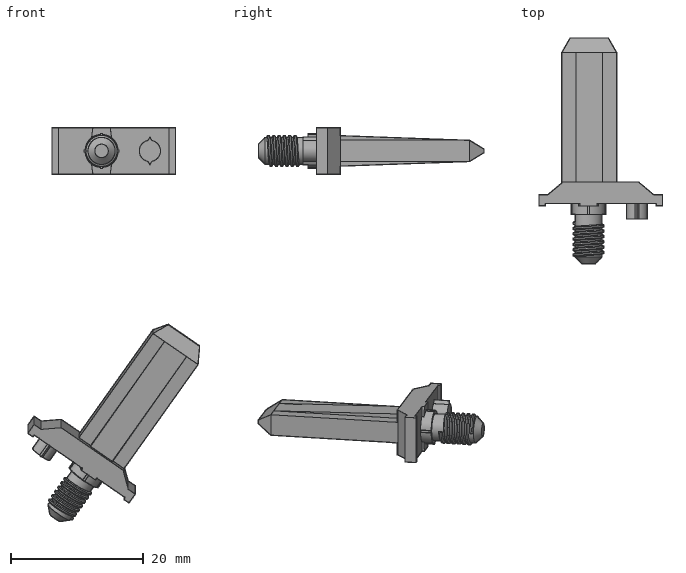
import cadquery as cq


overall_length = 34.02

flange_height = 7.05
flange_width = 18.6
flange_center_x = 1.85
foot_width = 0.95
foot_depth = 0.35
ear_top_y = 1.33
flange_top_y = 3.25
flange_top_width = 11.35
slope_foot_width = 16.0
step_length = 0.68
step_depth = 0.17

pad_edge_half_width = 1.3
pad_middle_half_width = 1.6

blade_center_x = 0.1
blade_width = 8.3
blade_thickness = 3.23
blade_end_y = 24.95
tip_length = 2.2
tip_width = 5.8
tip_thickness = 0.55
ridge_width = 4.05
ridge_root_thickness = 4.63

collar_radius = 2.5
collar_length = 1.63
collar_rib_reach = 2.65
collar_rib_width = 0.35
stud_radius = 2.05
stud_length = overall_length - blade_end_y
stud_tip_radius = 1.02
stud_tip_length = 1.02

thread_start = 2.95
thread_rise = 4.8
thread_turns = 6
thread_crest_radius = 2.35
thread_root_width = 0.68
thread_crest_width = 0.25
thread_overlap = 0.1

pin_x = 7.28
pin_radius = 1.6
pin_length = 2.35
pin_rib_reach = 2.1
pin_rib_width = 0.6
pin_rib_overlap = 0.07


def facing_front(x, y):
    """Workplane whose local Z points along -Y and local X along -X."""
    return cq.Workplane(cq.Plane(origin=(x, y, 0), xDir=(-1, 0, 0), normal=(0, -1, 0)))


def make_flange():
    half = flange_width / 2
    right_half = [
        (0, 0),
        (half - foot_width, 0),
        (half - foot_width, -foot_depth),
        (half, -foot_depth),
        (half, ear_top_y),
        (slope_foot_width / 2, ear_top_y),
        (flange_top_width / 2, flange_top_y),
        (0, flange_top_y),
    ]
    profile = cq.Workplane("XY").polyline(right_half).mirrorY()
    flange = profile.extrude(flange_height / 2, both=True).translate((flange_center_x, 0, 0))
    step = (
        cq.Workplane("XY")
        .moveTo(blade_center_x - blade_width / 2, flange_top_y)
        .rect(step_length, step_depth)
        .extrude(flange_height / 2, both=True)
        .translate((step_length / 2, -step_depth / 2, 0))
    )
    return flange.union(step)


def make_pad():
    top = flange_height / 2
    return (
        facing_front(0, 0)
        .moveTo(-pad_edge_half_width, -top)
        .threePointArc((-pad_middle_half_width, 0), (-pad_edge_half_width, top))
        .lineTo(pad_edge_half_width, top)
        .threePointArc((pad_middle_half_width, 0), (pad_edge_half_width, -top))
        .close()
        .extrude(foot_depth)
    )


def make_blade():
    tip_start_y = blade_end_y - tip_length
    body = facing_front(blade_center_x, tip_start_y).rect(blade_width, blade_thickness)
    body = body.extrude(tip_start_y - flange_top_y)
    tip = (
        facing_front(blade_center_x, blade_end_y)
        .rect(tip_width, tip_thickness)
        .workplane(offset=tip_length)
        .rect(blade_width, blade_thickness)
        .loft(ruled=True)
    )
    ridge = (
        facing_front(blade_center_x, tip_start_y)
        .rect(ridge_width, blade_thickness)
        .workplane(offset=tip_start_y - flange_top_y)
        .rect(ridge_width, ridge_root_thickness)
        .loft(ruled=True)
    )
    return body.union(tip).union(ridge)


def make_stud():
    core = facing_front(0, 0).circle(stud_radius).extrude(stud_length)
    core = core.rotate((0, 0, 0), (0, 1, 0), 90)
    core = core.faces("<Y").chamfer(stud_tip_length, stud_radius - stud_tip_radius)
    collar = facing_front(0, 0).circle(collar_radius).extrude(collar_length)
    for size in [
        (2 * collar_rib_reach, collar_rib_width),
        (collar_rib_width, 2 * collar_rib_reach),
    ]:
        collar = collar.union(facing_front(0, 0).rect(*size).extrude(collar_length))
    return core.union(collar)


def make_thread():
    """Right-handed trapezoidal thread, sunk slightly into the stud core."""
    inner_radius = stud_radius - thread_overlap
    helix = cq.Wire.makeHelix(thread_rise / thread_turns, thread_rise, stud_radius)
    thread = (
        cq.Workplane("XZ")
        .polyline([
            (inner_radius, -thread_root_width / 2),
            (thread_crest_radius, -thread_crest_width / 2),
            (thread_crest_radius, thread_crest_width / 2),
            (inner_radius, thread_root_width / 2),
        ])
        .close()
        .sweep(cq.Workplane(obj=helix), isFrenet=True)
    )
    placement = cq.Location(facing_front(0, -thread_start).plane)
    return cq.Workplane(obj=thread.val().moved(placement))


def make_pin():
    pin = facing_front(pin_x, 0).circle(pin_radius).extrude(pin_length)
    rib_base = pin_radius - pin_rib_overlap
    half_width = pin_rib_width / 2
    ribs = (
        facing_front(pin_x, 0)
        .polyline([
            (0, pin_rib_reach),
            (half_width, rib_base),
            (half_width, -rib_base),
            (0, -pin_rib_reach),
            (-half_width, -rib_base),
            (-half_width, rib_base),
        ])
        .close()
        .extrude(pin_length)
    )
    return pin.union(ribs)


result = make_flange()
for feature in [make_pad(), make_blade(), make_pin(), make_stud().union(make_thread())]:
    result = result.union(feature)